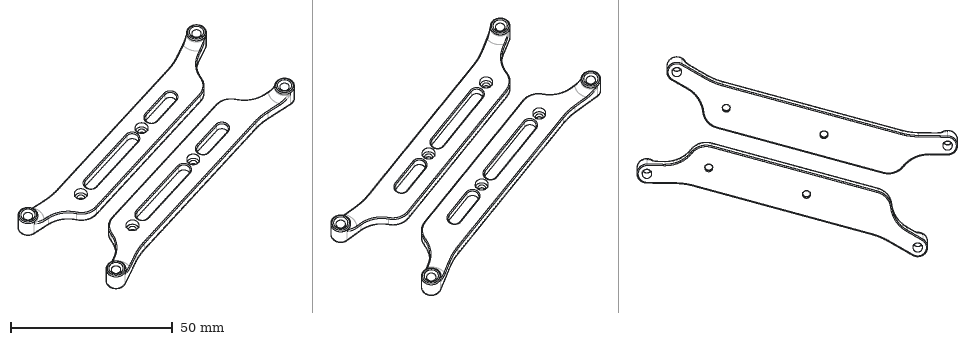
import cadquery as cq
import math

plate_thickness = 4.0
outer_edge_x = 16.9
inner_edge_x = 3.0
edge_chamfer = 0.4

overall_width = 40.1
overall_length = 93.1
boss_diameter = 6.1
boss_height = 7.0
boss_radius = boss_diameter / 2
boss_x = overall_width / 2 - boss_radius
boss_y = overall_length / 2 - boss_radius
boss_hole_diameter = 2.9
countersink_diameter = 4.4
countersink_depth = 0.7
boss_fillet = 2.0
flare_radius = boss_radius + boss_fillet
flare_top = plate_thickness + boss_fillet

arm_angle = math.radians(15)
bend_radius = 20.0
neck_radius = 10.0
shoulder_radius = 6.0
shoulder_y = 26.7
rim_end = 0.1

row_x = (outer_edge_x + inner_edge_x) / 2
hole_ys = (5.8, -25.6)
hole_diameter = 2.4
counterbore_diameter = 4.0
counterbore_depth = 2.2
slot_width = 4.0
slot_depth = 3.0
slot_chamfer = 0.4
slot_ends = ((8.8, 22.5), (-22.4, 2.9))

tolerance = 0.01


def polar(center, radius, angle):
    """Point on a circle, with the angle measured from +X."""
    return (center[0] + radius * math.cos(angle), center[1] + radius * math.sin(angle))


def mirrored(point):
    """The same point in the other half of the bracket, across the X axis."""
    return (point[0], -point[1])


def arc_between(center, radius, start_angle, end_angle):
    """Middle and end point of an arc."""
    middle_angle = (start_angle + end_angle) / 2
    return polar(center, radius, middle_angle), polar(center, radius, end_angle)


def outline():
    """Closed outline of the left bracket, symmetric about the X axis."""
    boss = (-boss_x, boss_y)
    toward_plate = arm_angle
    toward_outside = arm_angle + math.pi

    bend_center_x = -outer_edge_x - bend_radius
    bend_offset = (boss_x + bend_center_x) * math.cos(arm_angle)
    bend_center_y = boss_y - (boss_radius + bend_radius + bend_offset) / math.sin(arm_angle)
    bend = (bend_center_x, bend_center_y)

    shoulder = (-inner_edge_x - shoulder_radius, shoulder_y)

    to_shoulder_x = shoulder[0] - boss[0]
    to_shoulder_y = shoulder[1] - boss[1]
    across = to_shoulder_x * math.cos(arm_angle) + to_shoulder_y * math.sin(arm_angle)
    along = to_shoulder_y * math.cos(arm_angle) - to_shoulder_x * math.sin(arm_angle)
    neck_across = boss_radius + neck_radius
    neck_along = along + math.sqrt((shoulder_radius + neck_radius) ** 2 - (neck_across - across) ** 2)
    neck = (
        boss[0] + neck_across * math.cos(arm_angle) - neck_along * math.sin(arm_angle),
        boss[1] + neck_across * math.sin(arm_angle) + neck_along * math.cos(arm_angle),
    )
    inflection_angle = math.atan2(neck[1] - shoulder[1], neck[0] - shoulder[0])

    bend_start = polar(bend, bend_radius, 0)
    bend_middle, bend_end = arc_between(bend, bend_radius, 0, toward_plate)
    boss_start = polar(boss, boss_radius, toward_outside)
    boss_middle, boss_end = arc_between(boss, boss_radius, toward_outside, toward_plate)
    neck_start = polar(neck, neck_radius, toward_outside)
    neck_middle, neck_end = arc_between(neck, neck_radius, toward_outside, inflection_angle + math.pi)
    shoulder_middle, shoulder_end = arc_between(shoulder, shoulder_radius, inflection_angle, 0)

    return (
        cq.Workplane("XY")
        .moveTo(*bend_start)
        .threePointArc(bend_middle, bend_end)
        .lineTo(*boss_start)
        .threePointArc(boss_middle, boss_end)
        .lineTo(*neck_start)
        .threePointArc(neck_middle, neck_end)
        .threePointArc(shoulder_middle, shoulder_end)
        .lineTo(*mirrored(shoulder_end))
        .threePointArc(mirrored(shoulder_middle), mirrored(neck_end))
        .threePointArc(mirrored(neck_middle), mirrored(neck_start))
        .lineTo(*mirrored(boss_end))
        .threePointArc(mirrored(boss_middle), mirrored(boss_start))
        .lineTo(*mirrored(bend_end))
        .threePointArc(mirrored(bend_middle), mirrored(bend_start))
        .close()
    )


def at_boss(shape, side):
    """Move a shape built around a boss at the origin, with its arm along -Y, to one end of the bracket."""
    placed = shape.rotate((0, 0, 0), (0, 0, 1), math.degrees(arm_angle)).translate((-boss_x, boss_y, 0))
    return placed if side > 0 else placed.mirror("XZ")


def arm_flare():
    """Concave flare from the top of the arm up to the boss, as wide as the arm."""
    slant = boss_fillet * math.sqrt(0.5)
    profile = (
        cq.Workplane("XZ")
        .moveTo(0, plate_thickness)
        .lineTo(flare_radius, plate_thickness)
        .threePointArc((flare_radius - slant, flare_top - slant), (boss_radius, flare_top))
        .lineTo(0, flare_top)
        .close()
    )
    half_turn = profile.revolve(180, (0, 0, 0), (0, 1, 0)).rotate((0, 0, 0), (0, 0, 1), 180)
    arm_width = cq.Workplane("XY", origin=(0, -flare_radius, plate_thickness)).box(
        boss_diameter, 2 * flare_radius, boss_fillet, centered=(True, True, False)
    )
    return half_turn.intersect(arm_width)


def boss_back():
    """Half of the boss that faces away from the arm, beside the flare."""
    return (
        cq.Workplane("XY", origin=(0, 0, plate_thickness))
        .moveTo(-boss_radius, 0)
        .threePointArc((0, boss_radius), (boss_radius, 0))
        .close()
        .extrude(boss_fillet)
    )


def boss_head():
    """Full round part of the boss above the flare."""
    return cq.Workplane("XY", origin=(0, 0, flare_top)).circle(boss_radius).extrude(boss_height - flare_top)


def boss_tip_block():
    """Block around the boss end of an arm, past the end of the chamfered rim."""
    size = 2 * boss_diameter
    return cq.Workplane("XY", origin=(0, -rim_end, 0)).box(size, size, size, centered=(True, False, False))


def is_flare_foot(edge):
    """Whether an edge is the arc where a flare runs into the plate."""
    return edge.geomType() == "CIRCLE" and abs(edge.radius() - flare_radius) < tolerance


def chamfer_rim(blank):
    """Chamfer the top rim of the plate and of the flares, which runs out where the arms meet the bosses."""
    arms = blank
    tips = []
    for side in (1, -1):
        block = at_boss(boss_tip_block(), side)
        tips.append(blank.intersect(block))
        arms = arms.cut(block)

    plate_top = [f for f in arms.faces("+Z").vals() if abs(f.Center().z - plate_thickness) < tolerance][0]
    plate_rim = [e for e in plate_top.Edges() if not is_flare_foot(e)]
    flare_rim = [
        e
        for e in arms.edges().vals()
        if e.geomType() == "BSPLINE" and e.Length() > boss_fillet
    ]
    arms = arms.newObject(plate_rim + flare_rim).chamfer(edge_chamfer)

    for tip in tips:
        arms = arms.union(tip)
    return arms


def boss_bore(y):
    """Through hole of a boss with its countersink."""
    hole_radius = boss_hole_diameter / 2
    profile = (
        cq.Workplane("XZ")
        .lineTo(hole_radius, 0)
        .lineTo(hole_radius, boss_height - countersink_depth)
        .lineTo(countersink_diameter / 2, boss_height)
        .lineTo(0, boss_height)
        .close()
    )
    return profile.revolve(360, (0, 0, 0), (0, 1, 0)).translate((-boss_x, y, 0))


def mounting_hole(y):
    """Through hole with a counterbore from the top of the plate."""
    hole = cq.Workplane("XY", origin=(-row_x, y, 0)).circle(hole_diameter / 2).extrude(plate_thickness)
    counterbore = (
        cq.Workplane("XY", origin=(-row_x, y, plate_thickness))
        .circle(counterbore_diameter / 2)
        .extrude(-counterbore_depth)
    )
    return hole.union(counterbore)


def slot(y_start, y_end):
    """Blind slot with a chamfered rim."""
    center_y = (y_start + y_end) / 2
    floor = plate_thickness - slot_depth
    cavity = (
        cq.Workplane("XY", origin=(-row_x, center_y, floor))
        .slot2D(y_end - y_start, slot_width, 90)
        .extrude(slot_depth)
    )
    rim = (
        cq.Workplane("XY", origin=(-row_x, center_y, plate_thickness))
        .slot2D(y_end - y_start + 2 * slot_chamfer, slot_width + 2 * slot_chamfer, 90)
        .extrude(-slot_chamfer, taper=45)
    )
    return cavity.union(rim)


def bracket_blank():
    """Plate, arms and bosses with chamfered edges, still without holes."""
    blank = outline().extrude(plate_thickness)
    for side in (1, -1):
        for piece in (boss_back(), arm_flare(), boss_head()):
            blank = blank.union(at_boss(piece, side))
    blank = chamfer_rim(blank)
    blank = blank.faces("<Z").edges().chamfer(edge_chamfer)
    return blank.faces(">Z").edges().chamfer(edge_chamfer)


def left_bracket():
    """Complete left bracket."""
    body = bracket_blank()
    for y in (boss_y, -boss_y):
        body = body.cut(boss_bore(y))
    for y_start, y_end in slot_ends:
        body = body.cut(slot(y_start, y_end))
    for y in hole_ys:
        body = body.cut(mounting_hole(y))
    return body


left = left_bracket()
right = left.mirror("YZ")
result = cq.Compound.makeCompound([left.val(), right.val()])